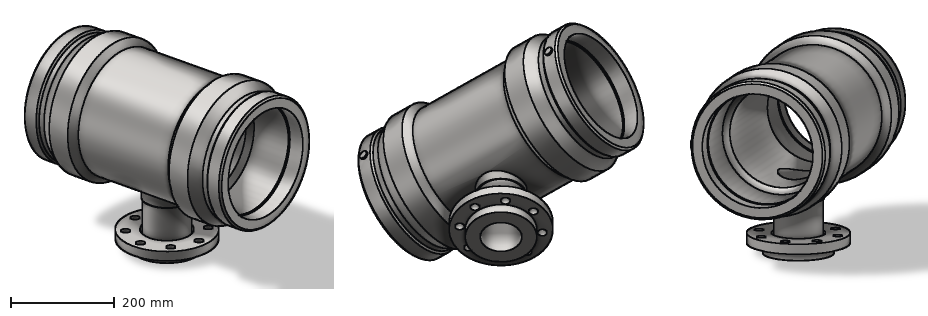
import cadquery as cq
import math

body_length = 494.0
pipe_diameter = 263.7
bore_diameter = 202.5

bulge_diameter = 293.0
bulge_height = (bulge_diameter - pipe_diameter) / 2
bulge_outer_slope = math.radians(30)
bulge_crest_outer = 73.8
bulge_crest_inner = 120.0
bulge_foot_outer = bulge_crest_outer - bulge_height / math.tan(bulge_outer_slope)
bulge_foot_inner = bulge_crest_inner + bulge_height

socket_diameter = 225.0
socket_depth = 122.0
socket_cone_end = socket_depth + (socket_diameter - bore_diameter) / 2
seam_groove_start = 33.0
seam_groove_diameter = 227.0

ring_diameter = 272.49
ring_face_diameter = 264.31
ring_width = 36.5
ring_chamfer = (ring_diameter - ring_face_diameter) / 2

marker_diameter = 17.0
marker_top = 139.5

branch_bottom = -255.0
branch_bore_diameter = 80.0
branch_pipe_diameter = 96.0
collar_diameter = 100.0
collar_bottom = -bulge_diameter / 2
stub_end_diameter = 138.0
stub_end_thickness = 20.0

flange_diameter = 200.0
flange_thickness = 20.0
flange_hole_diameter = 104.0
bolt_hole_diameter = 18.0
bolt_circle_diameter = 160.0
bolt_count = 8

half_length = body_length / 2
stub_end_top = branch_bottom + stub_end_thickness


def vertical_cylinder(diameter, bottom, top):
    return cq.Workplane("XY").workplane(offset=bottom).circle(diameter / 2).extrude(top - bottom)


def cylinder_along_x(diameter, start, end):
    return cq.Workplane("YZ").workplane(offset=start).circle(diameter / 2).extrude(end - start)


def make_main_body():
    """Pipe with both socket bulges and locking rings, still without its bore."""
    half_outline = [
        (0, ring_face_diameter / 2),
        (ring_chamfer, ring_diameter / 2),
        (ring_width - ring_chamfer, ring_diameter / 2),
        (ring_width, ring_face_diameter / 2),
        (ring_width, pipe_diameter / 2),
        (bulge_foot_outer, pipe_diameter / 2),
        (bulge_crest_outer, bulge_diameter / 2),
        (bulge_crest_inner, bulge_diameter / 2),
        (bulge_foot_inner, pipe_diameter / 2),
    ]
    left = [(depth - half_length, radius) for depth, radius in half_outline]
    right = [(-x, radius) for x, radius in reversed(left)]
    outline = [(-half_length, 0)] + left + right + [(half_length, 0)]
    return cq.Workplane("XY").polyline(outline).close().revolve(360, (0, 0, 0), (1, 0, 0))


def make_marker(ring_center_x):
    """Round stud on the +Y side of a locking ring, rooted inside the ring wall."""
    root = pipe_diameter / 2 - ring_chamfer
    return (
        cq.Workplane("XZ", origin=(ring_center_x, marker_top, 0))
        .circle(marker_diameter / 2)
        .extrude(marker_top - root)
    )


def make_branch():
    """Branch pipe with its root collar and the stub end at the bottom."""
    pipe = vertical_cylinder(branch_pipe_diameter, branch_bottom, 0)
    collar = vertical_cylinder(collar_diameter, collar_bottom, 0)
    stub_end = vertical_cylinder(stub_end_diameter, branch_bottom, stub_end_top)
    return pipe.union(collar).union(stub_end)


def make_flange():
    """Loose flange with a clearance hole around the branch pipe and a ring of bolt holes."""
    bolt_holes = (
        cq.Workplane("XY")
        .workplane(offset=stub_end_top)
        .polarArray(bolt_circle_diameter / 2, 0, 360, bolt_count)
        .circle(bolt_hole_diameter / 2)
        .extrude(flange_thickness)
    )
    flange_top = stub_end_top + flange_thickness
    flange = vertical_cylinder(flange_diameter, stub_end_top, flange_top)
    clearance = vertical_cylinder(flange_hole_diameter, stub_end_top, flange_top)
    return flange.cut(clearance).cut(bolt_holes)


def make_bores():
    """Through bore, both sockets with their seam grooves, and the branch bore."""
    socket_outline = [
        (0, 0),
        (0, socket_diameter / 2),
        (socket_depth, socket_diameter / 2),
        (socket_cone_end, bore_diameter / 2),
        (socket_cone_end, 0),
    ]
    bores = cylinder_along_x(bore_diameter, -half_length, half_length)
    for side in (-1, 1):
        mouth = side * half_length
        socket = (
            cq.Workplane("XY")
            .polyline([(mouth - side * depth, radius) for depth, radius in socket_outline])
            .close()
            .revolve(360, (0, 0, 0), (1, 0, 0))
        )
        groove = cylinder_along_x(
            seam_groove_diameter, mouth - side * seam_groove_start, mouth - side * ring_width
        )
        bores = bores.union(socket).union(groove)
    return bores.union(vertical_cylinder(branch_bore_diameter, branch_bottom, 0))


body = make_main_body()
for side in (-1, 1):
    body = body.union(make_marker(side * (half_length - ring_width / 2)))
result = body.union(make_branch()).union(make_flange()).cut(make_bores())